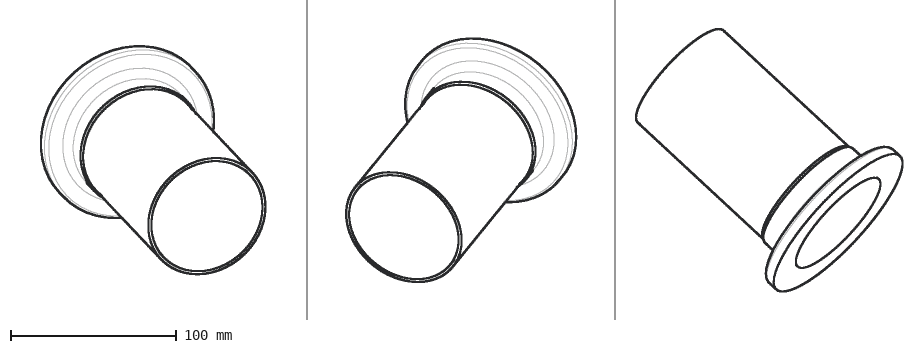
import cadquery as cq

total_length = 135.0
bore_radius = 72.1 / 2
tube_radius = 76.1 / 2
hub_radius = 78.0 / 2
flange_radius = 110.0 / 2

flange_thickness = 8.0
rim_round = 2.0
neck_fillet = 4.9

hub_end = 25.0
taper_end = 27.0

half_section = (
    cq.Workplane("XY")
    .moveTo(0, bore_radius)
    .lineTo(0, flange_radius)
    .lineTo(flange_thickness - rim_round, flange_radius)
    .radiusArc((flange_thickness, flange_radius - rim_round), rim_round)
    .lineTo(flange_thickness, hub_radius + neck_fillet)
    .radiusArc((flange_thickness + neck_fillet, hub_radius), -neck_fillet)
    .lineTo(hub_end, hub_radius)
    .lineTo(taper_end, tube_radius)
    .lineTo(total_length, tube_radius)
    .lineTo(total_length, bore_radius)
    .close()
)

tube = half_section.revolve(360, (0, 0, 0), (1, 0, 0))

result = tube.translate((-total_length / 2, 0, 0))